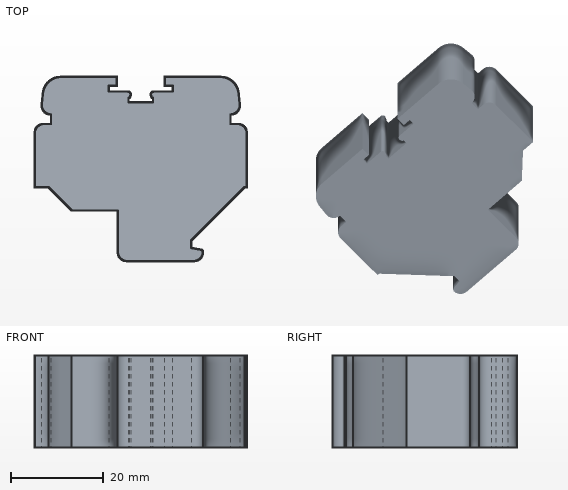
import cadquery as cq
import math

WIDTH = 46.0
DEPTH = 40.0
HEIGHT = 20.0
HALF_WIDTH = WIDTH / 2

MOUTH_HALF = 5.2
LIP_DEPTH = 2.0
T_HALF = 6.9
T_DEPTH = 3.2
PIT_HALF = 2.65
PIT_DEPTH = 5.5

CATCH_HALF = 2.15
CATCH_RADIUS = 0.65
CATCH_END_DEPTH = 4.6
CATCH_END_HALF = 2.4
CATCH_END_ANGLE = math.radians(210)

EAR_HALF = 21.5
EAR_TAPER = math.radians(6)
EAR_CORNER_RADIUS = 4.0
EAR_TOE_RADIUS = 2.0
NOTCH_HALF = EAR_HALF - EAR_TOE_RADIUS
NOTCH_START_DEPTH = 8.2
NOTCH_WIDTH = 2.0
SHOULDER_RADIUS = 2.0

BODY_FRONT_Y = 16.0
LEFT_BEVEL_START_X = -20.0
LEFT_BEVEL = 5.0
RIGHT_BEVEL_START_X = 22.5
STEM_LEFT_X = -5.0
STEM_CORNER_RADIUS = 2.0
NECK_X = 11.0

HOOK_TIP_X = 13.5
HOOK_RADIUS = 2.0
HOOK_ROOT_Y = 2.9
HOOK_SHOULDER = (12.7, 2.6)
HOOK_TIP_BULGE = (13.3, 2.38)


def arc_point(center, radius, angle):
    """Point on a circle at the given angle in radians."""
    return (center[0] + radius * math.cos(angle), center[1] + radius * math.sin(angle))


def right_back_edges():
    """Back half-outline at +X, from the body side to the slot pit.

    Each edge is a tuple of points: one for a line end, two for an arc's
    middle and end.
    """
    notch_back_y = DEPTH - NOTCH_START_DEPTH
    notch_front_y = notch_back_y - NOTCH_WIDTH
    shoulder_center = (HALF_WIDTH - SHOULDER_RADIUS, notch_front_y - SHOULDER_RADIUS)
    toe_center = (NOTCH_HALF, notch_back_y + EAR_TOE_RADIUS)
    corner_y = DEPTH - EAR_CORNER_RADIUS
    radius_shift = (EAR_CORNER_RADIUS - EAR_TOE_RADIUS) / math.cos(EAR_TAPER)
    taper_shift = (corner_y - toe_center[1]) * math.tan(EAR_TAPER)
    corner_center = (NOTCH_HALF - radius_shift - taper_shift, corner_y)
    catch_center = (CATCH_HALF + CATCH_RADIUS, DEPTH - T_DEPTH - CATCH_RADIUS)
    corner_mid_angle = (EAR_TAPER + math.pi / 2) / 2
    toe_mid_angle = (EAR_TAPER - math.pi / 2) / 2
    return [
        ((HALF_WIDTH, shoulder_center[1]),),
        (
            arc_point(shoulder_center, SHOULDER_RADIUS, math.pi / 4),
            (shoulder_center[0], notch_front_y),
        ),
        ((NOTCH_HALF, notch_front_y),),
        ((NOTCH_HALF, notch_back_y),),
        (
            arc_point(toe_center, EAR_TOE_RADIUS, toe_mid_angle),
            arc_point(toe_center, EAR_TOE_RADIUS, EAR_TAPER),
        ),
        (arc_point(corner_center, EAR_CORNER_RADIUS, EAR_TAPER),),
        (
            arc_point(corner_center, EAR_CORNER_RADIUS, corner_mid_angle),
            (corner_center[0], DEPTH),
        ),
        ((MOUTH_HALF, DEPTH),),
        ((MOUTH_HALF, DEPTH - LIP_DEPTH),),
        ((T_HALF, DEPTH - LIP_DEPTH),),
        ((T_HALF, DEPTH - T_DEPTH),),
        ((catch_center[0], DEPTH - T_DEPTH),),
        (
            (catch_center[0] - CATCH_RADIUS, catch_center[1]),
            arc_point(catch_center, CATCH_RADIUS, CATCH_END_ANGLE),
        ),
        ((CATCH_END_HALF, DEPTH - CATCH_END_DEPTH),),
        ((PIT_HALF, DEPTH - CATCH_END_DEPTH),),
        ((PIT_HALF, DEPTH - PIT_DEPTH),),
    ]


def mirrored_edges(edges):
    """The same edges mirrored to -X and walked in the opposite direction."""
    mirrored = []
    for index in range(len(edges) - 1, -1, -1):
        x, y = edges[index][-1]
        end = (-x, y)
        if not mirrored or len(edges[index + 1]) == 1:
            mirrored.append((end,))
        else:
            mid_x, mid_y = edges[index + 1][0]
            mirrored.append(((-mid_x, mid_y), end))
    return mirrored


def front_edges():
    """Front outline, from the left body side to the start of the right one."""
    left_bevel_end_y = BODY_FRONT_Y - LEFT_BEVEL
    neck_top_y = BODY_FRONT_Y - (RIGHT_BEVEL_START_X - NECK_X)
    stem_center = (STEM_LEFT_X + STEM_CORNER_RADIUS, STEM_CORNER_RADIUS)
    hook_center = (HOOK_TIP_X - HOOK_RADIUS, HOOK_RADIUS)
    return [
        ((-HALF_WIDTH, BODY_FRONT_Y),),
        ((LEFT_BEVEL_START_X, BODY_FRONT_Y),),
        ((LEFT_BEVEL_START_X + LEFT_BEVEL, left_bevel_end_y),),
        ((STEM_LEFT_X, left_bevel_end_y),),
        ((STEM_LEFT_X, stem_center[1]),),
        (
            arc_point(stem_center, STEM_CORNER_RADIUS, math.radians(225)),
            (stem_center[0], 0),
        ),
        ((hook_center[0], 0),),
        (
            arc_point(hook_center, HOOK_RADIUS, -math.pi / 4),
            (HOOK_TIP_X, hook_center[1]),
        ),
        (HOOK_TIP_BULGE, HOOK_SHOULDER),
        ((NECK_X, HOOK_ROOT_Y),),
        ((NECK_X, neck_top_y),),
        ((RIGHT_BEVEL_START_X, BODY_FRONT_Y),),
    ]


def housing():
    """Closed profile extruded to the full height."""
    back_right = right_back_edges()
    edges = back_right + mirrored_edges(back_right) + front_edges()
    profile = cq.Workplane("XY").moveTo(HALF_WIDTH, BODY_FRONT_Y)
    for edge in edges:
        if len(edge) == 1:
            profile = profile.lineTo(*edge[0])
        else:
            profile = profile.threePointArc(*edge)
    return profile.close().extrude(HEIGHT)


result = housing()